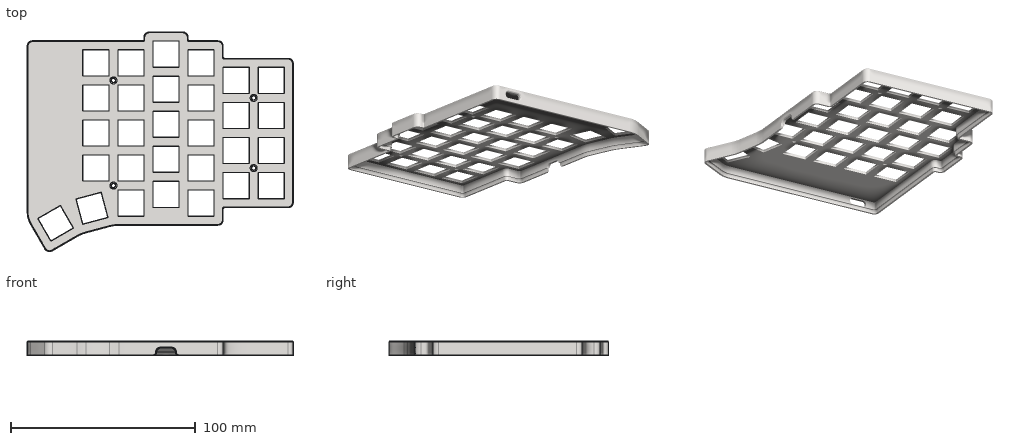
import cadquery as cq
import math

body_length = 144.25
body_height = 7.8
plate_thickness = 1.5
wall_thickness = 2.0
lid_seat_depth = 2.0
lid_seat_width = 0.8
top_edge_chamfer = 0.4

key_pitch = 19.0
key_opening = 14.0
key_margin = 2.5
edge_offset = key_pitch / 2 + key_margin
top_row = 4
full_column = range(0, top_row + 1)
short_column = range(1, top_row + 1)
columns = [
    (0, short_column),
    (0, full_column),
    (key_pitch / 4, full_column),
    (0, full_column),
    (-key_pitch / 2, short_column),
    (-key_pitch / 2, short_column),
]
base_column = 1
crown_column = 2
step_column = 3
last_column = 5

thumb_angle = 15.0
thumb_key_count = 2
thumb_pivot_radius = key_pitch / 2 / math.tan(math.radians(thumb_angle / 2)) + key_pitch / 2

corner_radius = 3.0
inside_corner_radius = 0.5
thumb_bend_radius = 20.0
left_bend_radius = 14.0

screw_diameter = 2.2
screw_head_diameter = 3.8
screw_head_angle = 90.0
screw_keys = [(0, 0), (0, 3), (4, 1), (4, 3)]

chamfer_angle = 45.0
cable_slot_length = 10.0
cable_slot_height = 3.5
cable_slot_y = 75.5
cable_slot_flare = 0.5

notch_top_width = 10.0
notch_bottom_width = 10.6
notch_height = 4.0
notch_top_radius = 2.5
notch_foot_chamfer = 0.8
notch_flare = 0.5


def column_x(column):
    return (column - base_column) * key_pitch


def key_center(column, row):
    return column_x(column), row * key_pitch + columns[column][0]


right_x = column_x(last_column) + edge_offset
left_x = right_x - body_length
front_y = -edge_offset


def thumb_point(angle, across, outward):
    """Point measured from the pivot: outward along the ray at `angle`, across it to the right."""
    turn = math.radians(angle)
    x = across * math.cos(turn) - outward * math.sin(turn)
    y = across * math.sin(turn) + outward * math.cos(turn)
    return x, y - thumb_pivot_radius


def outline_corners():
    """Corners of the outside wall, counter-clockwise, each with its rounding radius."""
    front_radius = thumb_pivot_radius - edge_offset
    bend_reach = front_radius * math.tan(math.radians(thumb_angle / 2))
    last_angle = thumb_key_count * thumb_angle
    thumb_tip = thumb_point(last_angle, -edge_offset, front_radius)
    left_bend_y = thumb_tip[1] + (thumb_tip[0] - left_x) / math.tan(math.radians(last_angle))

    step_x = column_x(step_column) + edge_offset
    step_front_y = key_center(last_column, short_column[0])[1] - edge_offset
    step_back_y = key_center(last_column, top_row)[1] + edge_offset
    back_y = key_center(base_column, top_row)[1] + edge_offset
    crown_x, crown_y = key_center(crown_column, top_row)

    return [
        (thumb_tip, corner_radius),
        (thumb_point(last_angle, bend_reach, front_radius), thumb_bend_radius),
        (thumb_point(thumb_angle, bend_reach, front_radius), thumb_bend_radius),
        ((step_x, front_y), corner_radius),
        ((step_x, step_front_y), inside_corner_radius),
        ((right_x, step_front_y), corner_radius),
        ((right_x, step_back_y), corner_radius),
        ((step_x, step_back_y), inside_corner_radius),
        ((step_x, back_y), corner_radius),
        ((crown_x + edge_offset, back_y), inside_corner_radius),
        ((crown_x + edge_offset, crown_y + edge_offset), corner_radius),
        ((crown_x - edge_offset, crown_y + edge_offset), corner_radius),
        ((crown_x - edge_offset, back_y), inside_corner_radius),
        ((left_x, back_y), corner_radius),
        ((left_x, left_bend_y), left_bend_radius),
    ]


def rounded_corner(before, corner, after, radius):
    """Start, middle and end of the arc that rounds one corner."""
    corner_v = cq.Vector(*corner)
    to_before = (cq.Vector(*before) - corner_v).normalized()
    to_after = (cq.Vector(*after) - corner_v).normalized()
    half_angle = to_before.getAngle(to_after) / 2
    reach = radius / math.tan(half_angle)
    bisector = (to_before + to_after).normalized()
    middle = corner_v + bisector * (radius / math.sin(half_angle) - radius)
    return corner_v + to_before * reach, middle, corner_v + to_after * reach


def rounded_loop(workplane, corners):
    """Closed loop through (point, radius) corners, each one rounded."""
    arcs = []
    for i, (corner, radius) in enumerate(corners):
        before = corners[i - 1][0]
        after = corners[(i + 1) % len(corners)][0]
        arcs.append(rounded_corner(before, corner, after, radius))
    last_end = arcs[-1][2]
    path = workplane.moveTo(last_end.x, last_end.y)
    for start, middle, end in arcs:
        path = path.lineTo(start.x, start.y)
        if start != end:
            path = path.threePointArc((middle.x, middle.y), (end.x, end.y))
    return path.close()


def outline():
    return rounded_loop(cq.Workplane("XY"), outline_corners())


def shell():
    body = outline().extrude(body_height).faces(">Z").edges().chamfer(top_edge_chamfer)
    cavity = outline().offset2D(-wall_thickness).extrude(body_height - plate_thickness)
    lid_seat = outline().offset2D(lid_seat_width - wall_thickness).extrude(lid_seat_depth)
    return body.cut(cavity).cut(lid_seat)


def key_cutter(center, angle):
    cutter = cq.Workplane("XY").rect(key_opening, key_opening).extrude(body_height)
    return cutter.rotate((0, 0, 0), (0, 0, 1), angle).translate((*center, 0))


def cut_keys(body):
    for column, (_, rows) in enumerate(columns):
        for row in rows:
            body = body.cut(key_cutter(key_center(column, row), 0))
    for i in range(1, thumb_key_count + 1):
        angle = i * thumb_angle
        body = body.cut(key_cutter(thumb_point(angle, 0, thumb_pivot_radius), angle))
    return body


def cut_screw_holes(body):
    """Countersunk holes midway between four neighbouring keys."""
    centers = []
    for column, row in screw_keys:
        x, y = key_center(column, row)
        centers.append((x + key_pitch / 2, y + key_pitch / 2))
    top = body.faces(">Z").workplane(origin=(0, 0, body_height))
    return top.pushPoints(centers).cskHole(screw_diameter, screw_head_diameter, screw_head_angle)


def cut_cable_slot(body):
    """Round-ended slot through the left wall, with a chamfered outside rim."""
    start = cq.Workplane("YZ", origin=(left_x, cable_slot_y, body_height / 2))
    opening = start.slot2D(cable_slot_length, cable_slot_height).extrude(wall_thickness)
    rim = start.slot2D(
        cable_slot_length + 2 * cable_slot_flare, cable_slot_height + 2 * cable_slot_flare
    ).extrude(cable_slot_flare, taper=chamfer_angle)
    return body.cut(opening).cut(rim)


def notch_profile(growth):
    """Half-open profile of the front notch, enlarged all round by `growth`."""
    plane = cq.Plane(origin=(column_x(crown_column), front_y, 0), xDir=(-1, 0, 0), normal=(0, 1, 0))
    top = notch_top_width / 2 + growth
    bottom = notch_bottom_width / 2 + growth
    height = notch_height + growth
    foot = notch_foot_chamfer + growth * math.tan(math.radians(chamfer_angle / 2))
    corners = [
        ((-bottom - foot, 0), 0),
        ((bottom + foot, 0), 0),
        ((bottom, foot), 0),
        ((top, height), notch_top_radius + growth),
        ((-top, height), notch_top_radius + growth),
        ((-bottom, foot), 0),
    ]
    return rounded_loop(cq.Workplane(plane), corners)


def cut_front_notch(body):
    """Notch through the front wall, open at the underside, with a chamfered outside rim."""
    opening = notch_profile(0).extrude(wall_thickness)
    inner = notch_profile(0).wires().val().translate(cq.Vector(0, notch_flare, 0))
    outer = notch_profile(notch_flare).wires().val()
    rim = cq.Workplane(cq.Solid.makeLoft([outer, inner], True))
    return body.cut(opening).cut(rim)


case = shell()
case = cut_keys(case)
case = cut_screw_holes(case)
case = cut_cable_slot(case)
case = cut_front_notch(case)
result = case